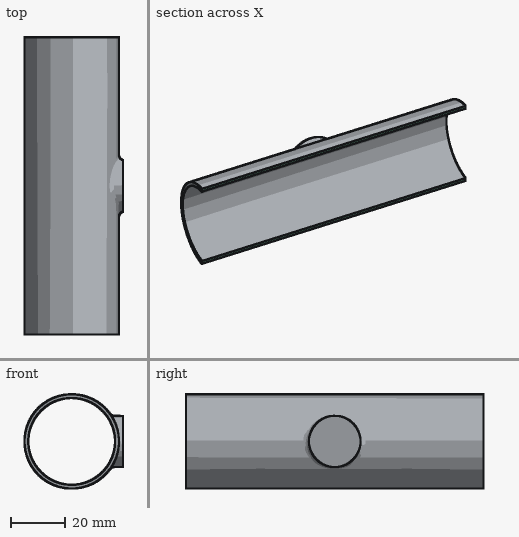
import cadquery as cq

tube_diameter = 35.0
bore_diameter = 32.0
tube_length = 110.0

boss_diameter = 19.0
boss_height = 1.5
root_fillet = 2.0

tube_radius = tube_diameter / 2
boss_face_x = tube_radius + boss_height

trim_length = 2 * root_fillet
trim_width = 2 * tube_diameter


def cylinder_along_y(diameter):
    """Full-length cylinder on the tube axis."""
    return cq.Workplane("XZ").circle(diameter / 2).extrude(tube_length / 2, both=True)


def tube_with_boss():
    """Solid tube blank joined to the overlong boss, with the joint filleted."""
    boss = cq.Workplane("YZ").circle(boss_diameter / 2).extrude(boss_face_x + trim_length)
    blank = cylinder_along_y(tube_diameter).union(boss)
    return blank.edges("%BSPLINE").fillet(root_fillet)


def boss_trim():
    """Block that cuts the boss, and the top of its fillet, to a flat end face."""
    return (
        cq.Workplane("YZ", origin=(boss_face_x, 0, 0))
        .rect(trim_width, trim_width)
        .extrude(2 * trim_length)
    )


result = tube_with_boss().cut(boss_trim()).cut(cylinder_along_y(bore_diameter))